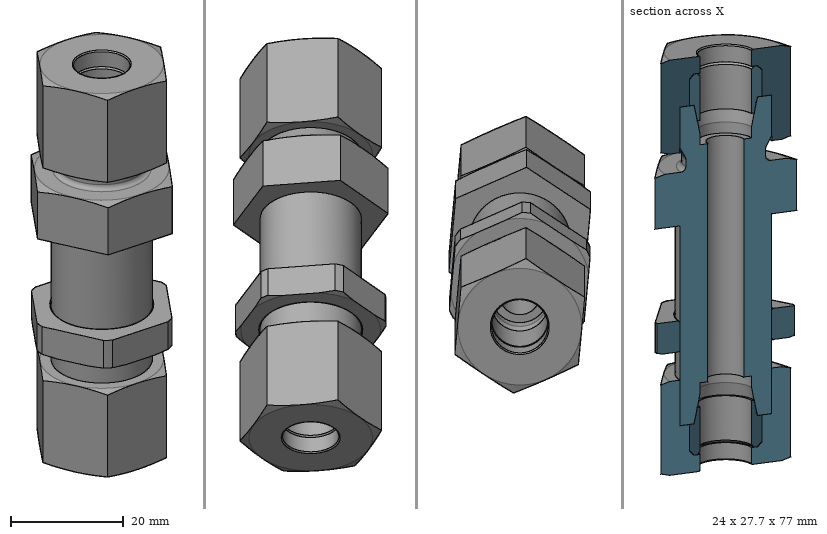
import cadquery as cq
import math

LENGTH = 77.0
MID_Z = LENGTH / 2

TUBE_HOLE = 10.0

NUT_FLATS = 22.0
NUT_LENGTH = 17.5
NUT_FACE = 21.95
NUT_MOUTH_CHAMFER = 0.2

RING_DEPTH = 3.2
RING_DIAMETER = 14.0
RING_FACE = 12.3
RING_MOUTH_CHAMFER = 0.5
RING_NOSE_LENGTH = 3.0

BODY_HEX_FLATS = 24.0
BODY_HEX_HEIGHT = 10.0
BODY_HEX_FACE = 23.9
NUT_TO_HEX_GAP = 3.55
SHANK_DIAMETER = 18.0
BODY_END_DEPTH = 8.9
THROUGH_BORE = 7.0
TUBE_STOP_DEPTH = 7.5
CONE_MOUTH = 12.3
CONE_HALF_ANGLE = 12.0

NECK_DIAMETER = 15.7
GROOVE_RADIUS = 0.9
GROOVE_LEAD_ANGLE = 30.0
GROOVE_LEAD_START = 2.7

LOCKNUT_FLATS = 24.0
LOCKNUT_CORNERS = 26.9
LOCKNUT_BOTTOM_Z = 22.6
LOCKNUT_HEIGHT = 5.85
LOCKNUT_LOWER_FACE = 24.8
LOCKNUT_BORE_CHAMFER = 0.2

CORNER_CHAMFER_ANGLE = 15.0
CUTTER_MARGIN = 0.8

BODY_TOP_Z = LENGTH - BODY_END_DEPTH
RING_TOP_Z = LENGTH - RING_DEPTH
NUT_INNER_Z = LENGTH - NUT_LENGTH
HEX_TOP_Z = NUT_INNER_Z - NUT_TO_HEX_GAP
HEX_BOTTOM_Z = HEX_TOP_Z - BODY_HEX_HEIGHT
CONE_SLOPE = math.tan(math.radians(CONE_HALF_ANGLE))
CONE_LENGTH = (CONE_MOUTH - TUBE_HOLE) / 2 / CONE_SLOPE
RING_NOSE_DIAMETER = CONE_MOUTH - 2 * RING_NOSE_LENGTH * CONE_SLOPE
RING_SHOULDER_Z = RING_TOP_Z - (RING_DIAMETER - RING_FACE) / 2


def cylinder(diameter, bottom, top):
    return cq.Workplane("XY").workplane(offset=bottom).circle(diameter / 2).extrude(top - bottom)


def revolve(profile):
    """Turn a closed XZ profile, drawn with X as the radius, about the Z axis."""
    return profile.close().revolve(360, (0, 0, 0), (0, 1, 0))


def cone(bottom_diameter, bottom, top_diameter, top):
    return revolve(
        cq.Workplane("XZ")
        .moveTo(0, bottom)
        .lineTo(bottom_diameter / 2, bottom)
        .lineTo(top_diameter / 2, top)
        .lineTo(0, top)
    )


def countersink(bore, chamfer, face_z, inward):
    """Cutter for a 45 degree chamfer at a hole's mouth; inward is +1 at a lower face, -1 at an upper face."""
    return cone(bore + 2 * chamfer, face_z, bore, face_z + inward * chamfer)


def hexagon(flats, bottom, top):
    """Hexagonal prism with two flats facing -X and +X."""
    corners = flats / math.cos(math.radians(30))
    prism = cq.Workplane("XY").workplane(offset=bottom).polygon(6, corners).extrude(top - bottom)
    return prism.rotate((0, 0, 0), (0, 0, 1), 30)


def chamfer_corners(prism, flats, face_diameter, face_z, inward):
    """Trim a hexagon's corners with a flat cone; inward is +1 at a lower face, -1 at an upper face."""
    rim = flats / math.cos(math.radians(30)) / 2
    drop = (rim - face_diameter / 2) * math.tan(math.radians(CORNER_CHAMFER_ANGLE))
    cutter = revolve(
        cq.Workplane("XZ")
        .moveTo(face_diameter / 2, face_z)
        .lineTo(rim, face_z + inward * drop)
        .lineTo(rim + CUTTER_MARGIN, face_z + inward * drop)
        .lineTo(rim + CUTTER_MARGIN, face_z)
    )
    return prism.cut(cutter)


def mirror_to_bottom(part):
    return part.mirror("XY", (0, 0, MID_Z))


def make_union_nut():
    """Upper union nut: threaded from below, with a 45 degree seat pressing on the ring."""
    nut = hexagon(NUT_FLATS, NUT_INNER_Z, LENGTH)
    nut = chamfer_corners(nut, NUT_FLATS, NUT_FACE, LENGTH, -1)
    nut = chamfer_corners(nut, NUT_FLATS, NUT_FACE, NUT_INNER_Z, 1)
    nut = nut.cut(cylinder(SHANK_DIAMETER, NUT_INNER_Z, BODY_TOP_Z))
    nut = nut.cut(cylinder(RING_DIAMETER, BODY_TOP_Z, RING_SHOULDER_Z))
    nut = nut.cut(cone(RING_DIAMETER, RING_SHOULDER_Z, RING_FACE, RING_TOP_Z))
    nut = nut.cut(cylinder(TUBE_HOLE, RING_TOP_Z, LENGTH))
    return nut.cut(countersink(TUBE_HOLE, NUT_MOUTH_CHAMFER, LENGTH, -1))


def make_cutting_ring():
    """Upper cutting ring: tapered nose in the body's cone, collar and shoulder in the nut."""
    ring = cone(RING_NOSE_DIAMETER, BODY_TOP_Z - RING_NOSE_LENGTH, CONE_MOUTH, BODY_TOP_Z)
    ring = ring.union(cylinder(RING_DIAMETER, BODY_TOP_Z, RING_SHOULDER_Z))
    ring = ring.union(cone(RING_DIAMETER, RING_SHOULDER_Z, RING_FACE, RING_TOP_Z))
    ring = ring.cut(cylinder(TUBE_HOLE, BODY_TOP_Z - RING_NOSE_LENGTH, RING_TOP_Z))
    return ring.cut(countersink(TUBE_HOLE, RING_MOUTH_CHAMFER, RING_TOP_Z, -1))


def make_relief_groove():
    """Cutter for the groove: round root at the hexagon, round run-out into a sloping upper side."""
    neck = NECK_DIAMETER / 2
    shank = SHANK_DIAMETER / 2
    lead = math.radians(GROOVE_LEAD_ANGLE)
    runout_z = HEX_TOP_Z + GROOVE_LEAD_START
    runout_radius = neck + GROOVE_RADIUS * (1 - math.cos(lead))
    runout_start_z = runout_z - GROOVE_RADIUS * math.sin(lead)
    lead_end_z = runout_z + (shank - runout_radius) / math.tan(lead)
    runout_mid = (
        neck + GROOVE_RADIUS * (1 - math.cos(lead / 2)),
        runout_start_z + GROOVE_RADIUS * math.sin(lead / 2),
    )
    root_offset = GROOVE_RADIUS * (1 - math.cos(math.radians(45)))
    return revolve(
        cq.Workplane("XZ")
        .moveTo(shank, HEX_TOP_Z)
        .lineTo(neck + GROOVE_RADIUS, HEX_TOP_Z)
        .threePointArc((neck + root_offset, HEX_TOP_Z + root_offset), (neck, HEX_TOP_Z + GROOVE_RADIUS))
        .lineTo(neck, runout_start_z)
        .threePointArc(runout_mid, (runout_radius, runout_z))
        .lineTo(shank, lead_end_z)
    )


def make_tube_socket():
    """Cutter for the upper tube socket: entry cone for the ring, then a bore down to the tube stop."""
    entry = cone(TUBE_HOLE, BODY_TOP_Z - CONE_LENGTH, CONE_MOUTH, BODY_TOP_Z)
    return entry.union(cylinder(TUBE_HOLE, BODY_TOP_Z - TUBE_STOP_DEPTH, BODY_TOP_Z))


def make_body():
    hex_collar = hexagon(BODY_HEX_FLATS, HEX_BOTTOM_Z, HEX_TOP_Z)
    hex_collar = chamfer_corners(hex_collar, BODY_HEX_FLATS, BODY_HEX_FACE, HEX_TOP_Z, -1)
    body = cylinder(SHANK_DIAMETER, BODY_END_DEPTH, BODY_TOP_Z).cut(make_relief_groove())
    body = body.union(hex_collar)
    body = body.cut(cylinder(THROUGH_BORE, BODY_END_DEPTH, BODY_TOP_Z))
    socket = make_tube_socket()
    return body.cut(socket).cut(mirror_to_bottom(socket))


def make_locknut():
    top = LOCKNUT_BOTTOM_Z + LOCKNUT_HEIGHT
    nut = hexagon(LOCKNUT_FLATS, LOCKNUT_BOTTOM_Z, top)
    nut = nut.intersect(cylinder(LOCKNUT_CORNERS, LOCKNUT_BOTTOM_Z, top))
    nut = chamfer_corners(nut, LOCKNUT_FLATS, LOCKNUT_LOWER_FACE, LOCKNUT_BOTTOM_Z, 1)
    nut = nut.cut(cylinder(SHANK_DIAMETER, LOCKNUT_BOTTOM_Z, top))
    nut = nut.cut(countersink(SHANK_DIAMETER, LOCKNUT_BORE_CHAMFER, LOCKNUT_BOTTOM_Z, 1))
    return nut.cut(countersink(SHANK_DIAMETER, LOCKNUT_BORE_CHAMFER, top, -1))


body = make_body()
locknut = make_locknut()

end_parts = []
for make_part in (make_union_nut, make_cutting_ring):
    upper = make_part()
    end_parts += [upper.val(), mirror_to_bottom(upper).val()]

result = cq.Compound.makeCompound([body.val(), locknut.val(), *end_parts])